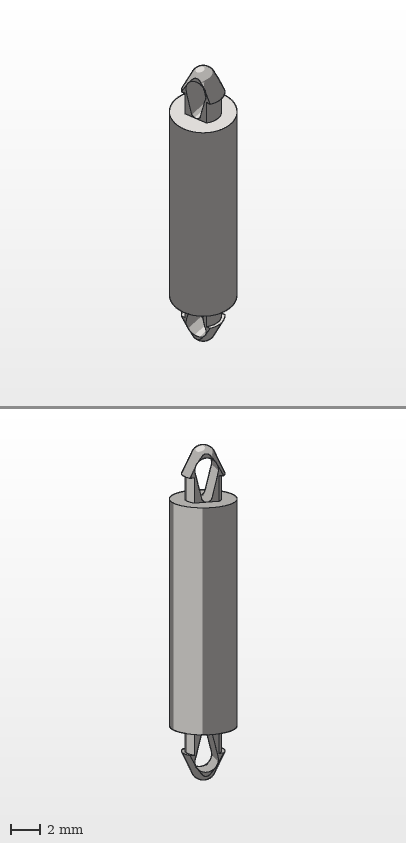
import cadquery as cq
import math

total_length = 23.6
body_diameter = 4.6
clip_length = 3.8
body_length = total_length - 2 * clip_length

shank_radius = 1.25
clip_thickness = 1.8
tip_thickness = 1.42
barb_height = 1.77
barb_radius = 1.49
dome_height = 3.19
dome_base_radius = 0.83

opening_large_radius = 0.83
opening_small_radius = 0.38
opening_top = 3.07
large_center = opening_top - opening_large_radius
small_center = opening_small_radius


def make_dome_arc_midpoint():
    """Point halfway along the spherical cap that is centred on the axis."""
    rise = clip_length - dome_height
    sphere_radius = (dome_base_radius**2 + rise**2) / (2 * rise)
    half_angle = math.asin(dome_base_radius / sphere_radius) / 2
    center_height = clip_length - sphere_radius
    return (
        sphere_radius * math.sin(half_angle),
        center_height + sphere_radius * math.cos(half_angle),
    )


def make_opening():
    """Teardrop prism running through the clip along Y."""
    lean = math.asin((opening_large_radius - opening_small_radius) / (large_center - small_center))
    large_x = opening_large_radius * math.cos(lean)
    large_z = large_center - opening_large_radius * math.sin(lean)
    small_x = opening_small_radius * math.cos(lean)
    small_z = small_center - opening_small_radius * math.sin(lean)
    return (
        cq.Workplane("XZ")
        .moveTo(small_x, small_z)
        .lineTo(large_x, large_z)
        .threePointArc((0, opening_top), (-large_x, large_z))
        .lineTo(-small_x, small_z)
        .threePointArc((0, 0), (small_x, small_z))
        .close()
        .extrude(barb_radius, both=True)
    )


def make_clip():
    """Upright clip standing on the XY plane, with flat Y sides that lean inward above the barb."""
    revolved = (
        cq.Workplane("XZ")
        .moveTo(0, 0)
        .lineTo(shank_radius, 0)
        .lineTo(shank_radius, barb_height)
        .lineTo(barb_radius, barb_height)
        .lineTo(dome_base_radius, dome_height)
        .threePointArc(make_dome_arc_midpoint(), (0, clip_length))
        .close()
        .revolve(360, (0, 0, 0), (0, 1, 0))
    )
    half_thickness = clip_thickness / 2
    half_tip = tip_thickness / 2
    flat_envelope = (
        cq.Workplane("YZ")
        .polyline([
            (-half_thickness, 0),
            (half_thickness, 0),
            (half_thickness, barb_height),
            (half_tip, clip_length),
            (-half_tip, clip_length),
            (-half_thickness, barb_height),
        ])
        .close()
        .extrude(barb_radius, both=True)
    )
    return revolved.intersect(flat_envelope).cut(make_opening())


body = (
    cq.Workplane("XY")
    .workplane(offset=-body_length / 2)
    .circle(body_diameter / 2)
    .extrude(body_length)
)
top_clip = make_clip().translate((0, 0, body_length / 2))
bottom_clip = top_clip.mirror("XY")

result = body.union(top_clip).union(bottom_clip)